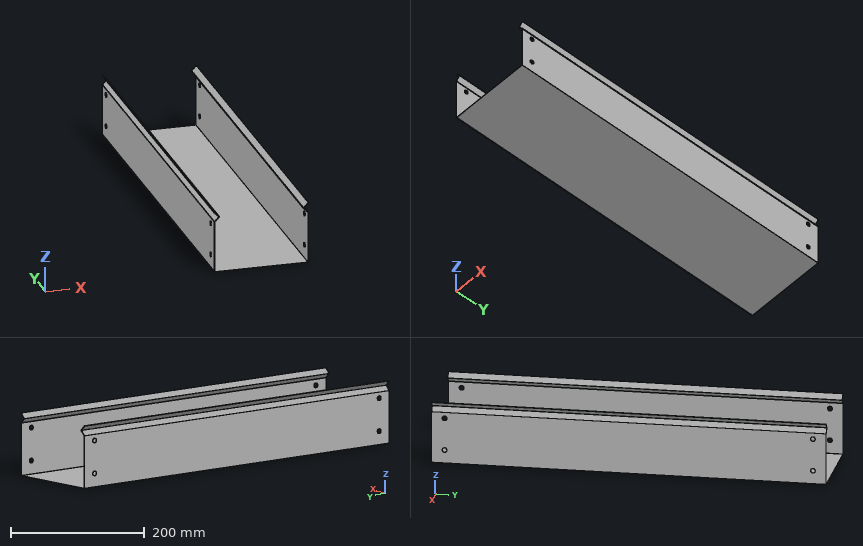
import cadquery as cq
import math

overall_width = 147.74
body_width = 147.0
length = 600.0
height = 96.25
sheet = 1.0

bend_height = 81.0
lip_angle = math.radians(45.0)

hole_diameter = 7.0
hole_end_distance = 20.0
hole_spacing = 50.0
lower_hole_height = 21.4


def side_points():
    """Right side of the section: up the outer face to the lip edge and back down the inner face."""
    wall_x = body_width / 2
    lip_x = overall_width / 2

    edge_inset = sheet * math.sin(lip_angle)
    edge_drop = sheet * math.cos(lip_angle)

    lip_overhang = lip_x - wall_x
    legs_run = (height - edge_drop - bend_height) / math.tan(lip_angle)
    valley_depth = (legs_run - lip_overhang) / 2
    valley_x = wall_x - valley_depth
    valley_z = bend_height + valley_depth * math.tan(lip_angle)

    tip_shift = sheet / math.sin(lip_angle)
    bend_shift = sheet * math.tan(lip_angle / 2)

    return [
        (wall_x, 0),
        (wall_x, bend_height),
        (valley_x, valley_z),
        (lip_x, height - edge_drop),
        (lip_x - edge_inset, height),
        (valley_x - tip_shift, valley_z),
        (wall_x - sheet, bend_height - bend_shift),
        (wall_x - sheet, sheet),
    ]


def make_channel():
    right_side = side_points()
    left_side = [(-x, z) for x, z in reversed(right_side)]
    section = cq.Workplane("XZ").polyline(right_side + left_side).close()
    return section.extrude(length / 2, both=True)


def make_hole_cutters():
    hole_y = length / 2 - hole_end_distance
    hole_heights = (lower_hole_height, lower_hole_height + hole_spacing)
    centres = [(y, z) for y in (-hole_y, hole_y) for z in hole_heights]
    cutters = cq.Workplane("YZ").pushPoints(centres).circle(hole_diameter / 2)
    return cutters.extrude(overall_width, both=True)


result = make_channel().cut(make_hole_cutters())